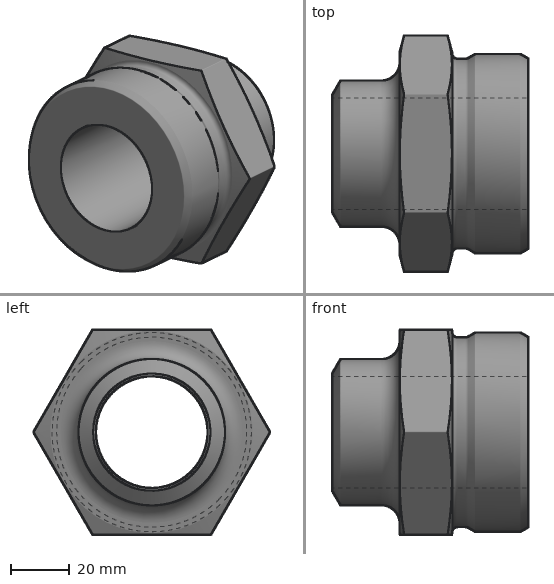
import cadquery as cq
import math


total_length = 67.0
bore_diameter = 38.0

edge_rounding = 0.33
match_tolerance = 1e-4

stub_radius = 25.0
stub_face_radius = 20.0
bevel_angle = math.radians(30)
bevel_length = (stub_radius - stub_face_radius) * math.tan(bevel_angle)
stub_fillet = 6.0

hex_start = 23.0
hex_end = 41.05
hex_sides = 6
hex_across_flats = 70.0
hex_across_corners = hex_across_flats / math.cos(math.pi / hex_sides)
hex_corner_radius = hex_across_corners / 2
stub_side_face_radius = 34.5
thread_side_face_radius = 34.32
hex_chamfer_angle = math.radians(15)
hex_chamfer_slope = math.tan(hex_chamfer_angle)
stub_side_chamfer = (hex_corner_radius - stub_side_face_radius) * hex_chamfer_slope
thread_side_chamfer = (hex_corner_radius - thread_side_face_radius) * hex_chamfer_slope

thread_radius = 34.0
relief_radius = 32.45
relief_fillet = 1.6
relief_end = 48.8
thread_flank_angle = math.radians(30)
thread_chamfer_length = (thread_radius - relief_radius) / math.tan(thread_flank_angle)

axis_start = (0, 0, 0)
axis_end = (1, 0, 0)


def revolve_about_x(profile):
    """Full revolution of a closed XY profile about the X axis."""
    return profile.close().revolve(360, axis_start, axis_end)


def arc_point(center_x, center_y, radius, angle):
    """Point on a circle, with the angle in radians from +X."""
    return (center_x + radius * math.cos(angle), center_y + radius * math.sin(angle))


def make_stub():
    """Bevelled weld stub that flares into the hexagon face."""
    fillet_start = hex_start - stub_fillet
    flare_radius = stub_radius + stub_fillet
    flare_middle = arc_point(fillet_start, flare_radius, stub_fillet, -math.pi / 4)
    profile = (
        cq.Workplane("XY")
        .moveTo(0, 0)
        .lineTo(0, stub_face_radius)
        .lineTo(bevel_length, stub_radius)
        .lineTo(fillet_start, stub_radius)
        .threePointArc(flare_middle, (hex_start, flare_radius))
        .lineTo(hex_start, 0)
    )
    return revolve_about_x(profile)


def make_hexagon():
    """Hexagon with two corners in the XY plane, rounded corners and chamfered end faces."""
    prism = (
        cq.Workplane("YZ", origin=(hex_start, 0, 0))
        .polygon(hex_sides, hex_across_corners)
        .extrude(hex_end - hex_start)
        .edges("|X")
        .fillet(edge_rounding)
    )
    chamfer_profile = (
        cq.Workplane("XY")
        .moveTo(hex_start, 0)
        .lineTo(hex_start, stub_side_face_radius)
        .lineTo(hex_start + stub_side_chamfer, hex_corner_radius)
        .lineTo(hex_end - thread_side_chamfer, hex_corner_radius)
        .lineTo(hex_end, thread_side_face_radius)
        .lineTo(hex_end, 0)
    )
    return prism.intersect(revolve_about_x(chamfer_profile))


def make_thread_body():
    """Plain thread cylinder with an end chamfer and a filleted relief groove."""
    fillet_center_y = relief_radius + relief_fillet
    hex_side_x = hex_end + relief_fillet
    hex_side_middle = arc_point(hex_side_x, fillet_center_y, relief_fillet, -3 * math.pi / 4)

    flank_foot_angle = thread_flank_angle - math.pi / 2
    flank_foot_y = fillet_center_y + relief_fillet * math.sin(flank_foot_angle)
    flank_foot_x = relief_end - (thread_radius - flank_foot_y) / math.tan(thread_flank_angle)
    flank_side_x = flank_foot_x - relief_fillet * math.cos(flank_foot_angle)
    flank_middle_angle = (flank_foot_angle - math.pi / 2) / 2
    flank_middle = arc_point(flank_side_x, fillet_center_y, relief_fillet, flank_middle_angle)

    profile = (
        cq.Workplane("XY")
        .moveTo(hex_end, 0)
        .lineTo(hex_end, fillet_center_y)
        .threePointArc(hex_side_middle, (hex_side_x, relief_radius))
        .lineTo(flank_side_x, relief_radius)
        .threePointArc(flank_middle, (flank_foot_x, flank_foot_y))
        .lineTo(relief_end, thread_radius)
        .lineTo(total_length - thread_chamfer_length, thread_radius)
        .lineTo(total_length, relief_radius)
        .lineTo(total_length, 0)
    )
    return revolve_about_x(profile)


def make_bore():
    """Through bore along the whole fitting."""
    return cq.Workplane("YZ").circle(bore_diameter / 2).extrude(total_length)


def is_circle_at(edge, x, radius):
    """True for a circular edge about the X axis at the given position and radius."""
    same_place = abs(edge.Center().x - x) < match_tolerance
    return same_place and abs(edge.radius() - radius) < match_tolerance


def break_circular_edges(part):
    """Round the convex circular edges of the bore mouth, the stub and the thread."""
    broken_circles = [
        (0, bore_diameter / 2),
        (bevel_length, stub_radius),
        (relief_end, thread_radius),
        (total_length - thread_chamfer_length, thread_radius),
        (total_length, relief_radius),
    ]
    for x, radius in broken_circles:
        rim = part.edges("%CIRCLE").filter(lambda edge: is_circle_at(edge, x, radius))
        part = rim.fillet(edge_rounding)
    return part


fitting = make_stub().union(make_hexagon()).union(make_thread_body()).cut(make_bore())
result = break_circular_edges(fitting)